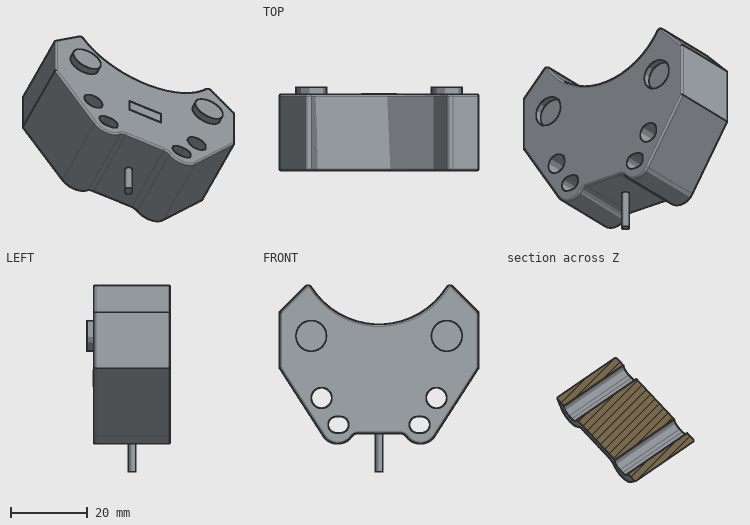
import cadquery as cq
import math

thickness = 20.0
half_width = 26.0
saddle_radius = 20.95
shoulder_z = -17.78
side_bottom_z = -32.4
base_z = -49.5
tip_round = 0.95
edge_round = 0.5

foot_x = 10.8
foot_z = -47.7
foot_radius = 4.5
foot_blend = 2.0

hole_x = 15.0
hole_z = -40.2
hole_diameter = 5.3
slot_x = 10.6
slot_z = -47.2
slot_length = 5.3
slot_height = 4.2

peg_x = 17.7
peg_z = -24.0
peg_diameter = 8.0
peg_height = 1.8
socket_depth = 2.0

pad_width = 9.1
pad_height = 4.15
pad_z = -35.1
pad_thickness = 0.1

pin_diameter = 2.0
pin_length = 10.0
pin_embed = 1.0


def offset(point, distance, angle):
    """Point at a given distance and direction (radians) from another point."""
    return (point[0] + distance * math.cos(angle), point[1] + distance * math.sin(angle))


def mirrored(point):
    return (-point[0], point[1])


def body_profile():
    """Closed outline of the plate; points are worked out for the +X half."""
    shoulder_angle = math.radians(45)
    shoulder_sum = half_width + shoulder_z - tip_round / math.sin(shoulder_angle)
    tip_orbit = saddle_radius + tip_round
    tip_angle = math.acos(shoulder_sum / (tip_orbit * math.sqrt(2))) - shoulder_angle
    tip_centre = offset((0, 0), tip_orbit, -tip_angle)
    tip_inner = offset((0, 0), saddle_radius, -tip_angle)
    tip_top = (tip_centre[0], tip_centre[1] + tip_round)
    tip_outer = offset(tip_centre, tip_round, shoulder_angle)

    corner = (half_width, side_bottom_z)
    to_foot = math.atan2(foot_z - side_bottom_z, foot_x - half_width)
    foot_distance = math.hypot(foot_z - side_bottom_z, foot_x - half_width)
    taper_angle = to_foot + math.asin(foot_radius / foot_distance)
    foot_outer = offset((foot_x, foot_z), foot_radius, taper_angle + math.pi / 2)
    foot_bottom = (foot_x, foot_z - foot_radius)

    blend_z = base_z - foot_blend
    blend_reach = foot_radius + foot_blend
    blend_x = foot_x - math.sqrt(blend_reach ** 2 - (blend_z - foot_z) ** 2)
    blend_angle = math.atan2(foot_z - blend_z, foot_x - blend_x)
    foot_inner = offset((blend_x, blend_z), foot_blend, blend_angle)
    blend_middle = offset((blend_x, blend_z), foot_blend, (blend_angle + math.pi / 2) / 2)
    blend_end = (blend_x, base_z)

    return (
        cq.Workplane("XZ")
        .moveTo(*mirrored(tip_inner))
        .threePointArc((0, -saddle_radius), tip_inner)
        .threePointArc(tip_top, tip_outer)
        .lineTo(half_width, shoulder_z)
        .lineTo(*corner)
        .lineTo(*foot_outer)
        .threePointArc(foot_bottom, foot_inner)
        .threePointArc(blend_middle, blend_end)
        .lineTo(*mirrored(blend_end))
        .threePointArc(mirrored(blend_middle), mirrored(foot_inner))
        .threePointArc(mirrored(foot_bottom), mirrored(foot_outer))
        .lineTo(*mirrored(corner))
        .lineTo(-half_width, shoulder_z)
        .lineTo(*mirrored(tip_outer))
        .threePointArc(mirrored(tip_top), mirrored(tip_inner))
        .close()
    )


def make_body():
    """Plate from Y = 0 (front) to Y = thickness (back), rounded along both outlines."""
    return body_profile().extrude(-thickness).faces("<Y or >Y").edges().fillet(edge_round)


def plane_at(y):
    """XZ work plane at a given Y; negative extrusion runs toward the back (+Y)."""
    return cq.Workplane("XZ", origin=(0, y, 0))


def pair_at(y, x, z):
    """Work plane at Y with a mirrored pair of points on it."""
    return plane_at(y).pushPoints([(-x, z), (x, z)])


def holes():
    return pair_at(0, hole_x, hole_z).circle(hole_diameter / 2).extrude(-thickness)


def slots():
    return pair_at(0, slot_x, slot_z).slot2D(slot_length, slot_height).extrude(-thickness)


def sockets():
    return pair_at(0, peg_x, peg_z).circle(peg_diameter / 2).extrude(-socket_depth)


def pegs():
    return pair_at(thickness, peg_x, peg_z).circle(peg_diameter / 2).extrude(-peg_height)


def pad():
    return plane_at(thickness).center(0, pad_z).rect(pad_width, pad_height).extrude(-pad_thickness)


def pin():
    """Pin at mid thickness, started inside the body so that it joins cleanly."""
    top = cq.Workplane("XY", origin=(0, thickness / 2, base_z + pin_embed))
    return top.circle(pin_diameter / 2).extrude(-(pin_embed + pin_length))


body = make_body().cut(holes()).cut(slots()).cut(sockets())
result = body.union(pegs()).union(pad()).union(pin())